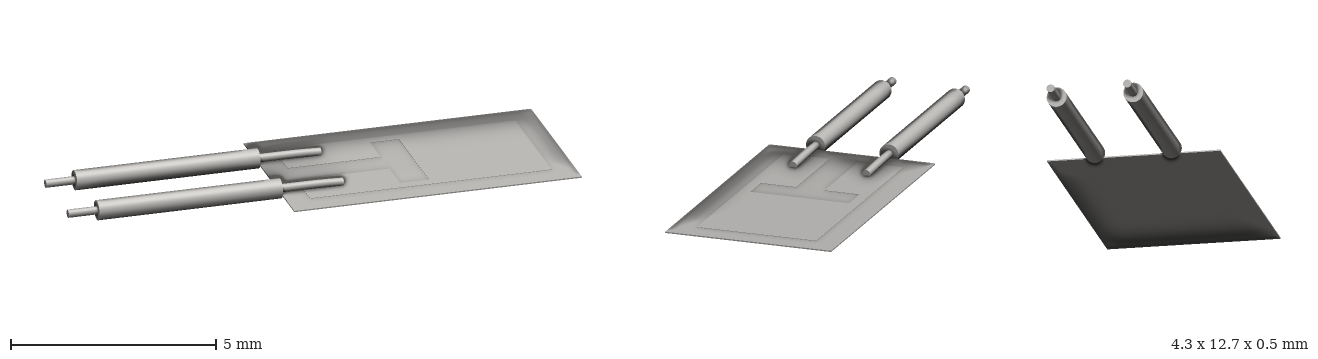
import cadquery as cq
import math

plate_width = 4.3
plate_length = 7.3
plate_thickness = 0.032

foil_width = 3.1
foil_margin = 0.58
foil_thickness = 0.01
foil_bottom = foil_margin
foil_top = plate_length - foil_margin

slot_width = 0.74
bar_width = 2.57
bar_bottom = 2.95
bar_height = 0.74

wire_diameter = 0.2
wire_spacing = 1.9
bend_length = 1.0
bend_drop = 0.03
total_length = 12.7
wire_free_end = plate_length - total_length

sleeve_diameter = 0.5
sleeve_length = 4.66

plate_top = -wire_diameter / 2
plate_bottom = plate_top - plate_thickness


def cylinder_along_y(diameter, x, y_start, y_end):
    """Cylinder centred at the given X and Z = 0, from y_start to y_end."""
    start = cq.Vector(x, y_start, 0)
    return cq.Workplane(cq.Solid.makeCylinder(diameter / 2, y_end - y_start, start, cq.Vector(0, 1, 0)))


def cut_wire_grooves(body, wires):
    """Remove the space taken by the wires."""
    for wire in wires:
        body = body.cut(wire)
    return body


def make_plate(wires):
    """Thin rectangular carrier with a shallow groove under each wire tip."""
    plate = (
        cq.Workplane("XY", origin=(0, plate_length / 2, plate_bottom))
        .box(plate_width, plate_length, plate_thickness, centered=(True, True, False))
    )
    return cut_wire_grooves(plate, wires)


def make_wire(x):
    """Round conductor, straight up to the foil edge and then bent gently down onto the foil."""
    straight = cylinder_along_y(wire_diameter, x, wire_free_end, foil_bottom)
    bend_radius = (bend_length**2 + bend_drop**2) / (2 * bend_drop)
    bend_angle = math.degrees(math.asin(bend_length / bend_radius))
    bent_end = (
        cq.Workplane("XZ", origin=(x, foil_bottom, 0))
        .circle(wire_diameter / 2)
        .revolve(bend_angle, (-0.13, -bend_radius, 0), (-0.25, -bend_radius, 0))
    )
    return straight.union(bent_end)


def make_sleeve(x):
    """Insulation around the wire, butting against the plate edge."""
    return cylinder_along_y(sleeve_diameter, x, -sleeve_length, 0).cut(make_wire(x))


def make_foil(wires):
    """Foil with a T-shaped opening and a groove under each wire."""
    bar_top = bar_bottom + bar_height
    half_outline = [
        (0, foil_top),
        (foil_width / 2, foil_top),
        (foil_width / 2, foil_bottom),
        (slot_width / 2, foil_bottom),
        (slot_width / 2, bar_bottom),
        (bar_width / 2, bar_bottom),
        (bar_width / 2, bar_top),
        (0, bar_top),
    ]
    foil = (
        cq.Workplane("XY", origin=(0, 0, plate_top))
        .polyline(half_outline)
        .mirrorY()
        .extrude(foil_thickness)
    )
    return cut_wire_grooves(foil, wires)


wire_positions = [-wire_spacing / 2, wire_spacing / 2]
wires = [make_wire(x) for x in wire_positions]
sleeves = [make_sleeve(x) for x in wire_positions]
plate = make_plate(wires)
foil = make_foil(wires)

result = cq.Compound.makeCompound(
    [plate.val(), foil.val(), *[wire.val() for wire in wires], *[sleeve.val() for sleeve in sleeves]]
)